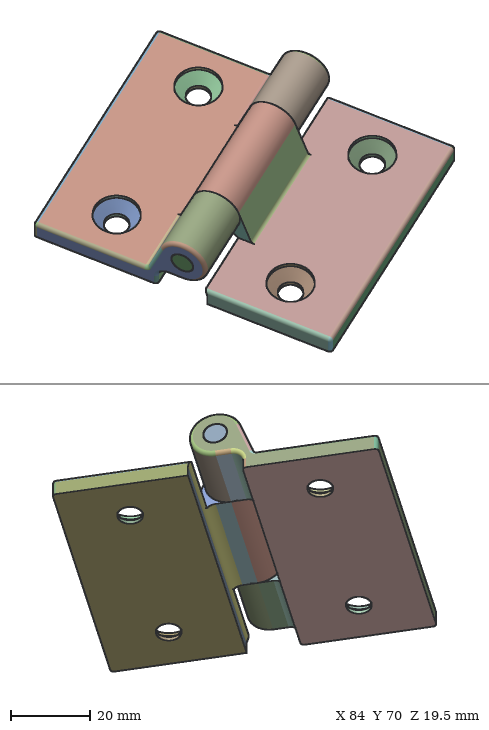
import cadquery as cq
import math

hinge_width = 84.0
hinge_length = 70.0
leaf_thickness = 5.0
inner_edge_x = 7.0
edge_fillet = 1.0

hinge_height = 19.5
knuckle_radius = 6.75
axis_z = hinge_height - knuckle_radius
knuckle_bottom_z = axis_z - knuckle_radius
middle_knuckle_length = 32.0
side_knuckle_length = (hinge_length - middle_knuckle_length) / 2
side_knuckle_centre_y = (middle_knuckle_length + side_knuckle_length) / 2
flank_angle = math.radians(20)
flank_fillet = 1.0
arch_radius = 3.0

pin_diameter = 6.0
pin_bore_diameter = 6.2

screw_spacing_x = 49.0
screw_spacing_y = 46.0
screw_hole_diameter = 6.5
screw_head_diameter = 12.2
screw_head_recess = 1.0
screw_cone_depth = (screw_head_diameter - screw_hole_diameter) / 2


def leaf_profile_bar():
    """Left leaf before trimming: plate, flank, eye and arched underside along the whole hinge length."""
    sin_flank = math.sin(flank_angle)
    cos_flank = math.cos(flank_angle)
    flank_top = (-knuckle_radius * cos_flank, axis_z + knuckle_radius * sin_flank)
    flank_foot_x = flank_top[0] - (flank_top[1] - leaf_thickness) * math.tan(flank_angle)

    foot_reach = flank_fillet * math.tan((math.pi / 2 - flank_angle) / 2)
    fillet_start = (flank_foot_x - foot_reach, leaf_thickness)
    fillet_end = (flank_foot_x + foot_reach * sin_flank, leaf_thickness + foot_reach * cos_flank)
    fillet_centre = (fillet_start[0], leaf_thickness + flank_fillet)
    mid_angle = -(flank_angle + math.pi / 2) / 2
    fillet_middle = (
        fillet_centre[0] + flank_fillet * math.cos(mid_angle),
        fillet_centre[1] + flank_fillet * math.sin(mid_angle),
    )

    arch_start_z = knuckle_bottom_z - arch_radius
    arch_end_x = -inner_edge_x + arch_radius
    arch_middle = (
        arch_end_x - arch_radius * math.sqrt(0.5),
        arch_start_z + arch_radius * math.sqrt(0.5),
    )
    return (
        cq.Workplane("XZ", origin=(0, hinge_length / 2, 0))
        .moveTo(-hinge_width / 2, 0)
        .lineTo(-hinge_width / 2, leaf_thickness)
        .lineTo(*fillet_start)
        .threePointArc(fillet_middle, fillet_end)
        .lineTo(*flank_top)
        .threePointArc((knuckle_radius, axis_z), (0, knuckle_bottom_z))
        .lineTo(arch_end_x, knuckle_bottom_z)
        .threePointArc(arch_middle, (-inner_edge_x, arch_start_z))
        .lineTo(-inner_edge_x, 0)
        .close()
        .extrude(hinge_length)
    )


def knuckle_gap(y_centre, length):
    """Space above the plate that leaves room for a knuckle of the other leaf."""
    return cq.Workplane("XY", origin=(0, y_centre, leaf_thickness)).box(
        hinge_width, length, hinge_height, centered=(True, True, False)
    )


def pin_cylinder(diameter):
    """Full-length cylinder on the hinge axis."""
    return (
        cq.Workplane("XZ", origin=(0, hinge_length / 2, 0))
        .center(0, axis_z)
        .circle(diameter / 2)
        .extrude(hinge_length)
    )


def screw_holes():
    """Two countersunk screw holes of the left leaf."""
    cone_bottom_z = leaf_thickness - screw_head_recess - screw_cone_depth
    profile = (
        cq.Workplane("XZ")
        .polyline([
            (0, 0),
            (screw_hole_diameter / 2, 0),
            (screw_hole_diameter / 2, cone_bottom_z),
            (screw_head_diameter / 2, cone_bottom_z + screw_cone_depth),
            (screw_head_diameter / 2, leaf_thickness),
            (0, leaf_thickness),
        ])
        .close()
    )
    hole = profile.revolve(360, (0, 0), (0, 1))
    x = -screw_spacing_x / 2
    y = screw_spacing_y / 2
    return hole.translate((x, y, 0)).union(hole.translate((x, -y, 0)))


def finish_leaf(leaf, rounded_edges):
    """Round the given edges, then bore the pin hole and the screw holes."""
    rounded = leaf.newObject(rounded_edges.vals()).fillet(edge_fillet)
    return rounded.cut(pin_cylinder(pin_bore_diameter)).cut(screw_holes())


def side_knuckle_leaf():
    """Left leaf with a knuckle at each end; its end outlines are rounded all the way round the eyes."""
    leaf = leaf_profile_bar().cut(knuckle_gap(0, middle_knuckle_length))
    end_edges = leaf.faces("<Y or >Y").edges("not <Z")
    outer_top_edge = leaf.faces("<X").edges(">Z")
    return finish_leaf(leaf, end_edges.add(outer_top_edge))


def middle_knuckle_leaf():
    """Right leaf with one knuckle in the middle; only its plate is rounded.

    It has the profile of the left leaf and is turned half a turn about Z at the end.
    """
    leaf = leaf_profile_bar()
    for side in (-1, 1):
        leaf = leaf.cut(knuckle_gap(side * side_knuckle_centre_y, side_knuckle_length))
    end_top_edges = leaf.faces("<Y or >Y").edges(">Z")
    outer_edges = leaf.faces("<X").edges("not <Z")
    leaf = finish_leaf(leaf, end_top_edges.add(outer_edges))
    return leaf.rotate((0, 0, 0), (0, 0, 1), 180)


left_leaf = side_knuckle_leaf()
right_leaf = middle_knuckle_leaf()
pin = pin_cylinder(pin_diameter)

result = cq.Compound.makeCompound([left_leaf.val(), right_leaf.val(), pin.val()])